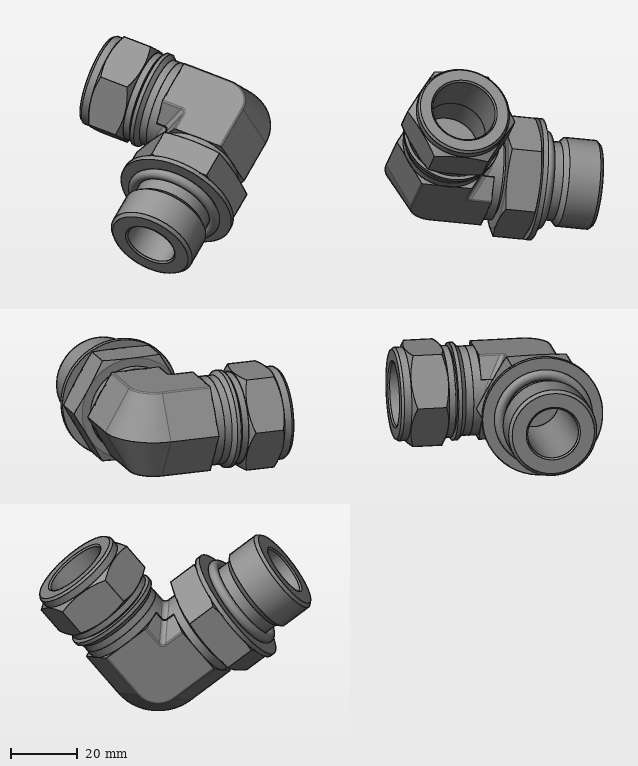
import cadquery as cq
import math


BLOCK_FLATS = 26.6
BLOCK_FACE = 15.4
BLOCK_INNER_FILLET = 1.5
BLOCK_EDGE_FILLET = 0.6
block_half = BLOCK_FLATS / 2
block_corner = block_half / math.cos(math.pi / 6)
mid_flat_side = block_half * math.cos(math.pi / 6)
mid_flat_height = block_half / 2

NECK_DIAMETER = 27.0
NECK_FACE = 18.0
NECK_FILLET = 1.5
neck_radius = NECK_DIAMETER / 2

SHANK_DIAMETER = 26.9
COLLAR_DIAMETER = 29.5
COLLAR_INNER_FACE = 21.6
COLLAR_OUTER_FACE = 22.8
TUBE_THREAD_DIAMETER = 25.4
collar_cone_end = COLLAR_INNER_FACE - (COLLAR_DIAMETER - SHANK_DIAMETER) / 2

NUT_FLATS = 28.575
NUT_INNER_FACE = 23.45
NUT_HEX_INNER_FACE = 25.45
NUT_HEX_OUTER_FACE = 37.0
NUT_END = 40.07
NUT_INNER_COLLAR_DIAMETER = 27.8
NUT_OUTER_COLLAR_DIAMETER = 28.2
NUT_END_FACE_DIAMETER = 27.0
NUT_END_CHAMFER_LENGTH = 0.8
NUT_HEX_CHAMFER_ANGLE = 30
tube_thread_end = NUT_HEX_INNER_FACE

TUBE_BORE_DIAMETER = 19.25
BORE_CHAMFER = 0.5

PORT_NECK_DIAMETER = 23.8
LOCKNUT_FLATS = 31.7
LOCKNUT_INNER_FACE = 18.85
LOCKNUT_OUTER_FACE = 29.15
LOCKNUT_CHAMFER_ANGLE = 15
WASHER_DIAMETER = 36.7
WASHER_OUTER_FACE = 30.65
SEAL_SECTION_DIAMETER = 3.1
SEAL_OUTER_DIAMETER = 30.0
SEAL_CENTER = 32.1
PORT_THREAD_DIAMETER = 26.9
PORT_RELIEF_END = 36.7
PORT_THREAD_END = 48.8
PORT_END_FACE_DIAMETER = 25.1
PORT_END_CHAMFER_LENGTH = 1.0
PORT_BORE_DIAMETER = 15.5
port_thread_start = PORT_RELIEF_END + (PORT_THREAD_DIAMETER - PORT_NECK_DIAMETER) / 2


def turned(profile):
    """Revolve a list of (distance from origin, radius) points about the tube axis, toward -X."""
    start, end = profile[0][0], profile[-1][0]
    points = [(-start, 0)] + [(-distance, radius) for distance, radius in profile] + [(-end, 0)]
    return cq.Workplane("XY").polyline(points).close().revolve(360, (0, 0, 0), (1, 0, 0))


def to_port(shape):
    """Turn a round or hexagonal shape from the tube arm (-X) to the port arm (-Y)."""
    return shape.rotate((0, 0, 0), (0, 0, 1), 90)


def hexagon_prism(flats, inner_face, outer_face, chamfer_angle, chamfer_inner_radius):
    """Hexagonal nut with flats at top and bottom and a conical chamfer at both ends."""
    corner_diameter = flats / math.cos(math.pi / 6)
    corner_radius = corner_diameter / 2
    chamfer_length = (corner_radius - chamfer_inner_radius) * math.tan(math.radians(chamfer_angle))
    prism = (
        cq.Workplane("YZ")
        .workplane(offset=-outer_face)
        .polygon(6, corner_diameter)
        .extrude(outer_face - inner_face)
    )
    envelope = turned([
        (inner_face, chamfer_inner_radius),
        (inner_face + chamfer_length, corner_radius),
        (outer_face - chamfer_length, corner_radius),
        (outer_face, chamfer_inner_radius),
    ])
    return prism.intersect(envelope)


def bore(diameter, mouth, bottom):
    """Blind bore with a chamfered mouth."""
    radius = diameter / 2
    return turned([
        (bottom, radius),
        (mouth - BORE_CHAMFER, radius),
        (mouth, radius + BORE_CHAMFER),
    ])


def make_block():
    """Hexagonal bend; the lower part of its inner side is left to the round web."""
    upper_outline = [
        (-block_corner, 0),
        (-block_corner / 2, block_half),
        (block_corner / 2, block_half),
        (block_corner, 0),
    ]
    outer_outline = [(0, 0), (0, block_half)] + upper_outline[2:]
    tube_arm = cq.Workplane("YZ").polyline(upper_outline).close().extrude(-BLOCK_FACE)
    port_arm = cq.Workplane("XZ").polyline(upper_outline).close().extrude(BLOCK_FACE)
    bend = cq.Workplane("XZ").polyline(outer_outline).close().revolve(90, (0, 0, 0), (0, 1, 0))
    upper_half = tube_arm.union(port_arm).union(bend)

    inner_corner = cq.selectors.BoxSelector(
        (-block_corner, -block_corner, 0), (-block_corner / 2, -block_corner / 2, block_half))
    upper_half = upper_half.edges(inner_corner).edges("not #Z").fillet(BLOCK_INNER_FILLET)
    upper_half = upper_half.faces(">Z").edges("not(<X or <Y)").fillet(BLOCK_EDGE_FILLET)

    web_space = (
        cq.Workplane("XY")
        .box(block_half, block_half, mid_flat_height, centered=False)
        .translate((-mid_flat_side - block_half, -mid_flat_side - block_half, 0))
    )
    upper_half = upper_half.cut(web_space)
    return upper_half.union(upper_half.mirror("XY"))


def make_web():
    """Round inner side of the bend, between the two necks."""
    cylinder = turned([(0, neck_radius), (NECK_FACE, neck_radius)])
    slab = (
        cq.Workplane("XY")
        .box(NECK_FACE, NECK_FACE, 2 * mid_flat_height)
        .translate((-NECK_FACE / 2, -NECK_FACE / 2, 0))
    )
    web = cylinder.union(to_port(cylinder)).intersect(slab)
    meeting_edge = cq.selectors.BoxSelector(
        (-neck_radius, -neck_radius, -mid_flat_height),
        (-mid_flat_side, -mid_flat_side, mid_flat_height))
    return web.edges(meeting_edge).fillet(NECK_FILLET)


def make_seal():
    """Round sealing ring, pressed slightly into the washer and the neck it sits on."""
    ring_radius = (SEAL_OUTER_DIAMETER - SEAL_SECTION_DIAMETER) / 2
    section = cq.Workplane("XY").moveTo(-SEAL_CENTER, ring_radius).circle(SEAL_SECTION_DIAMETER / 2)
    return section.revolve(360, (0, 0, 0), (1, 0, 0))


def make_body():
    """Elbow with the collar on its tube arm and the locknut, washer and seal on its port arm."""
    tube_side = turned([
        (BLOCK_FACE, neck_radius),
        (NECK_FACE, neck_radius),
        (NECK_FACE, SHANK_DIAMETER / 2),
        (collar_cone_end, SHANK_DIAMETER / 2),
        (COLLAR_INNER_FACE, COLLAR_DIAMETER / 2),
        (COLLAR_OUTER_FACE, COLLAR_DIAMETER / 2),
        (COLLAR_OUTER_FACE, TUBE_THREAD_DIAMETER / 2),
        (tube_thread_end, TUBE_THREAD_DIAMETER / 2),
    ])
    port_side = turned([
        (BLOCK_FACE, neck_radius),
        (NECK_FACE, neck_radius),
        (NECK_FACE, PORT_NECK_DIAMETER / 2),
        (LOCKNUT_OUTER_FACE, PORT_NECK_DIAMETER / 2),
        (LOCKNUT_OUTER_FACE, WASHER_DIAMETER / 2),
        (WASHER_OUTER_FACE, WASHER_DIAMETER / 2),
        (WASHER_OUTER_FACE, PORT_NECK_DIAMETER / 2),
        (PORT_RELIEF_END, PORT_NECK_DIAMETER / 2),
        (port_thread_start, PORT_THREAD_DIAMETER / 2),
        (PORT_THREAD_END - PORT_END_CHAMFER_LENGTH, PORT_THREAD_DIAMETER / 2),
        (PORT_THREAD_END, PORT_END_FACE_DIAMETER / 2),
    ])
    locknut = hexagon_prism(LOCKNUT_FLATS, LOCKNUT_INNER_FACE, LOCKNUT_OUTER_FACE,
                            LOCKNUT_CHAMFER_ANGLE, LOCKNUT_FLATS / 2)
    body = make_block().union(make_web()).union(tube_side)
    body = body.union(to_port(port_side.union(locknut).union(make_seal())))
    body = body.cut(bore(TUBE_BORE_DIAMETER, NUT_END, BLOCK_FACE))
    return body.cut(to_port(bore(PORT_BORE_DIAMETER, PORT_THREAD_END, BLOCK_FACE)))


def make_nut():
    """Hexagonal tube nut with a round collar at each end, fitting over the tube arm."""
    collars = turned([
        (NUT_INNER_FACE, NUT_INNER_COLLAR_DIAMETER / 2),
        (NUT_HEX_INNER_FACE, NUT_INNER_COLLAR_DIAMETER / 2),
        (NUT_HEX_INNER_FACE, NUT_OUTER_COLLAR_DIAMETER / 2),
        (NUT_END - NUT_END_CHAMFER_LENGTH, NUT_OUTER_COLLAR_DIAMETER / 2),
        (NUT_END, NUT_END_FACE_DIAMETER / 2),
    ])
    hexagon = hexagon_prism(NUT_FLATS, NUT_HEX_INNER_FACE, NUT_HEX_OUTER_FACE,
                            NUT_HEX_CHAMFER_ANGLE, NUT_OUTER_COLLAR_DIAMETER / 2)
    recess = turned([
        (NUT_INNER_FACE, TUBE_THREAD_DIAMETER / 2),
        (tube_thread_end, TUBE_THREAD_DIAMETER / 2),
    ])
    nut = collars.union(hexagon).cut(recess)
    return nut.cut(bore(TUBE_BORE_DIAMETER, NUT_END, BLOCK_FACE))


body = make_body()
nut = make_nut()
result = cq.Compound.makeCompound([body.val(), nut.val()])